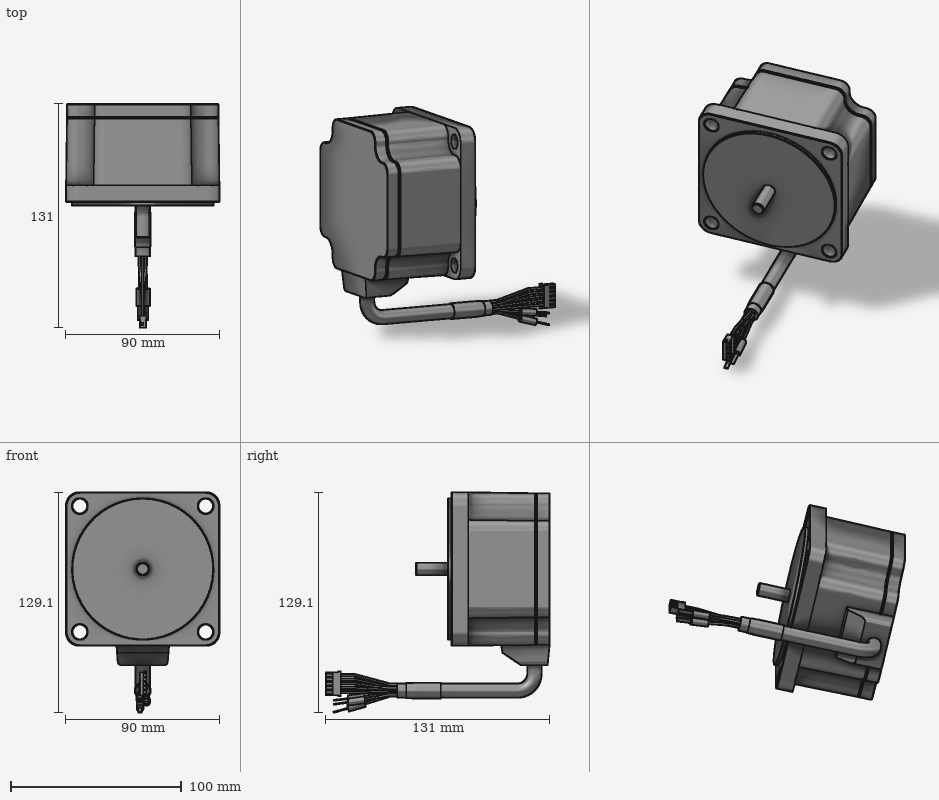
import cadquery as cq
import math


total_length = 131
rear_y = 57.5
connector_front_y = rear_y - total_length

flange_size = 90.0
flange_thickness = 10.0
flange_corner_radius = 8.0
flange_edge_chamfer = 0.5
pilot_diameter = 83.0
pilot_height = 2.1
pilot_edge_chamfer = 0.4
mount_hole_diameter = 8.5
mount_hole_mouth_diameter = 9.5
mount_hole_offset = 36.8

case_half = 44.4
case_draft_growth = 0.5
lobe_radius = 6.0
lobe_center = 22.1

cover_thickness = 7.3
cover_edge_chamfer = 0.4
spacer_thickness = 1.3
spacer_edge_chamfer = 0.4
cover_y = rear_y - cover_thickness
spacer_y = cover_y - spacer_thickness
case_length = spacer_y - flange_thickness

shaft_diameter = 7.6
shaft_end_y = -20.8
shaft_tip_chamfer = 0.5

boot_bottom_z = -56.3
boot_embed_z = -43.9
boot_slope_z = -49.0
boot_top_half_width = 15.5
boot_bottom_half_width = 14.5
boot_rear_bottom_y = 56.3
boot_front_top_y = 29.0
boot_slope_top_y = 29.9
boot_slope_bottom_y = 40.8
boot_edge_radius = 2.5

cable_diameter = 8.5
cable_y = 48.6
cable_z = -71.2
cable_bend_radius = 10.0
cable_end_y = -31.6
sleeve_diameter = 9.5
sleeve_tip_diameter = 9.0
sleeve_start_y = -6.2
sleeve_taper_y = -21.4
sleeve_end_y = -26.3

connector_left_x = -1.7
connector_width = 3.7
connector_center_z = -67.1
connector_height = 13.6
connector_back_y = -66.3
connector_lip_left_x = 0.8
connector_lip_height = 14.7
connector_lip_thickness = 1.6
contact_count = 5
contact_pitch = 2.5
slot_left_x = 0.3
slot_height = 1.7
slot_depth = 4.2
window_length = 0.5
window_height = 1.0
window_depth = 0.5
window_front_offsets = (1.5, 3.0)
top_window_x = (-0.8, 0.3)
top_window_length = 1.3

wire_diameter = 1.5
wire_row_x = 0
wire_fan_y = -36.4
wire_gather_y = -56.6
signal_wire_starts = ((0, -67.5), (-1.8, -68.9), (1.8, -69.7), (-0.3, -70.5), (-1.8, -71.8))

tube_diameter = 4.0
tube_start_y = -50.6
tube_end_y = -60.5
pin_end_y = -68.9
pin_width = 2.2
pin_thickness = 0.7
power_leads = (
    ((-1.6, -72.9), -1.8, -74.7, -75.9),
    ((1.6, -73.6), 2.2, -76.5, -78.0),
    ((-0.8, -74.2), -1.6, -78.8, -81.5),
)


def quarter_turned(point, quarters):
    """Point turned about the origin by a number of quarter turns."""
    u, v = point
    for _ in range(quarters):
        u, v = -v, u
    return (u, v)


def case_section(half, radius, y):
    """Notched square outline on the plane at the given Y, drawn facing +Y."""
    wall = lobe_center + radius
    notch_radius = mount_hole_offset - wall
    lobe_far = half - radius
    sqrt_half = math.sqrt(0.5)
    lobe_bulge = radius * sqrt_half
    notch_mid = mount_hole_offset - notch_radius * sqrt_half
    corner = (
        ((half, lobe_center), None),
        ((lobe_far, wall), (lobe_far + lobe_bulge, lobe_center + lobe_bulge)),
        ((mount_hole_offset, wall), None),
        ((wall, mount_hole_offset), (notch_mid, notch_mid)),
        ((wall, lobe_far), None),
        ((lobe_center, half), (lobe_center + lobe_bulge, lobe_far + lobe_bulge)),
    )
    outline = cq.Workplane("ZX", origin=(0, y, 0)).moveTo(half, -lobe_center)
    for quarter in range(4):
        for end, middle in corner:
            if middle:
                outline = outline.threePointArc(quarter_turned(middle, quarter), quarter_turned(end, quarter))
            else:
                outline = outline.lineTo(*quarter_turned(end, quarter))
    return outline.close()


def make_housing():
    """Mounting flange, pilot and drafted case in one piece."""
    flange = (
        cq.Workplane("ZX")
        .rect(flange_size, flange_size)
        .extrude(flange_thickness)
        .edges("|Y")
        .fillet(flange_corner_radius)
        .faces("<Y")
        .chamfer(flange_edge_chamfer)
    )
    pilot = (
        cq.Workplane("ZX", origin=(0, -pilot_height, 0))
        .circle(pilot_diameter / 2)
        .extrude(pilot_height)
        .faces("<Y")
        .chamfer(pilot_edge_chamfer)
    )
    draft_angle = math.degrees(math.atan(case_draft_growth / case_length))
    case = case_section(
        case_half + case_draft_growth, lobe_radius + case_draft_growth, flange_thickness
    ).extrude(case_length, taper=draft_angle)
    hole_square = 2 * mount_hole_offset
    holes = (
        cq.Workplane("ZX")
        .rect(hole_square, hole_square, forConstruction=True)
        .vertices()
        .circle(mount_hole_diameter / 2)
        .extrude(flange_thickness)
    )
    mouth_depth = (mount_hole_mouth_diameter - mount_hole_diameter) / 2
    mouths = (
        cq.Workplane("ZX")
        .rect(hole_square, hole_square, forConstruction=True)
        .vertices()
        .circle(mount_hole_mouth_diameter / 2)
        .extrude(mouth_depth, taper=45)
    )
    return flange.union(pilot).union(case).cut(holes).cut(mouths)


def make_spacer():
    spacer = case_section(case_half, lobe_radius, spacer_y).extrude(spacer_thickness)
    return spacer.faces("<Y or >Y").chamfer(spacer_edge_chamfer)


def make_rear_cover():
    cover = case_section(case_half, lobe_radius, cover_y).extrude(cover_thickness)
    return cover.faces(">Y").chamfer(cover_edge_chamfer)


def make_shaft():
    shaft_length = -pilot_height - shaft_end_y
    shaft = cq.Workplane("ZX", origin=(0, shaft_end_y, 0)).circle(shaft_diameter / 2).extrude(shaft_length)
    return shaft.faces("<Y").chamfer(shaft_tip_chamfer)


def make_boot(case_parts):
    """Wedge of the side profile and the tapered front profile, trimmed to the case."""
    side = (
        cq.Workplane("YZ")
        .polyline([
            (rear_y, boot_embed_z),
            (rear_y, -case_half),
            (boot_rear_bottom_y, boot_bottom_z),
            (boot_slope_bottom_y, boot_bottom_z),
            (boot_slope_top_y, boot_slope_z),
            (boot_front_top_y, -case_half),
            (boot_front_top_y, boot_embed_z),
        ])
        .close()
        .extrude(boot_top_half_width, both=True)
    )
    front = (
        cq.Workplane("XZ")
        .polyline([
            (-boot_top_half_width, boot_embed_z),
            (-boot_top_half_width, -case_half),
            (-boot_bottom_half_width, boot_bottom_z),
            (boot_bottom_half_width, boot_bottom_z),
            (boot_top_half_width, -case_half),
            (boot_top_half_width, boot_embed_z),
        ])
        .close()
        .extrude(-rear_y)
        .faces("<Z")
        .edges("|Y")
        .fillet(boot_edge_radius)
    )
    boot = side.intersect(front)
    for part in case_parts:
        boot = boot.cut(part)
    return boot


def make_rod(points, diameter):
    """Round rod along straight stretches, mitred where it bends."""
    start = cq.Vector(*points[0])
    direction = cq.Vector(*points[1]) - start
    path = cq.Workplane("XY").polyline(points)
    profile = cq.Workplane(cq.Plane(origin=start, normal=direction)).circle(diameter / 2)
    return profile.sweep(path, transition="right")


def make_blade(start, end):
    """Flat pin with its width along X."""
    direction = cq.Vector(*end) - cq.Vector(*start)
    plane = cq.Plane(origin=start, xDir=(1, 0, 0), normal=direction)
    return cq.Workplane(plane).rect(pin_width, pin_thickness).extrude(direction.Length)


def make_signal_wire(start, row):
    start_x, start_z = start
    return make_rod(
        [
            (start_x, cable_end_y, start_z),
            (start_x, wire_fan_y, start_z),
            (wire_row_x, wire_gather_y, contact_z(row)),
            (wire_row_x, connector_back_y, contact_z(row)),
        ],
        wire_diameter,
    )


def make_power_lead(wire_start, tube_x, tube_start_z, tube_end_z):
    """Wire, tube and bare pin in one piece; the pin continues the slope of the tube."""
    wire_x, wire_z = wire_start
    tube_start = (tube_x, tube_start_y, tube_start_z)
    tube_end = (tube_x, tube_end_y, tube_end_z)
    tube_slope = (tube_end_z - tube_start_z) / (tube_end_y - tube_start_y)
    pin_end = (tube_x, pin_end_y, tube_end_z + tube_slope * (pin_end_y - tube_end_y))
    tube_middle = (tube_x, (tube_start_y + tube_end_y) / 2, (tube_start_z + tube_end_z) / 2)
    wire = make_rod(
        [
            (wire_x, cable_end_y, wire_z),
            (wire_x, wire_fan_y, wire_z),
            tube_middle,
        ],
        wire_diameter,
    )
    tube = make_rod([tube_start, tube_end], tube_diameter)
    pin = make_blade(tube_middle, pin_end)
    return wire.union(tube).union(pin)


def make_cable():
    """Bent cable with the wires that fan out of its end."""
    bend_end_y = cable_y - cable_bend_radius
    bend_start_z = cable_z + cable_bend_radius
    bend_offset = cable_bend_radius * (1 - math.sqrt(0.5))
    path = (
        cq.Workplane("YZ")
        .moveTo(cable_y, boot_bottom_z)
        .lineTo(cable_y, bend_start_z)
        .threePointArc((cable_y - bend_offset, cable_z + bend_offset), (bend_end_y, cable_z))
        .lineTo(cable_end_y, cable_z)
    )
    cable = cq.Workplane("XY", origin=(0, cable_y, boot_bottom_z)).circle(cable_diameter / 2).sweep(path)
    for row, start in enumerate(signal_wire_starts):
        cable = cable.union(make_signal_wire(start, row))
    for lead in power_leads:
        cable = cable.union(make_power_lead(*lead))
    return cable


def make_sleeve():
    """Heat-shrink tube round the cable, tapered toward the wires."""
    bore_radius = cable_diameter / 2
    return (
        cq.Workplane("XY")
        .polyline([
            (bore_radius, sleeve_start_y),
            (sleeve_diameter / 2, sleeve_start_y),
            (sleeve_diameter / 2, sleeve_taper_y),
            (sleeve_tip_diameter / 2, sleeve_end_y),
            (bore_radius, sleeve_end_y),
        ])
        .close()
        .revolve(360, (0, 0, 0), (0, 1, 0))
        .translate((0, 0, cable_z))
    )


def contact_z(row):
    """Height of a contact row, counted from the top."""
    return connector_center_z + contact_pitch * ((contact_count - 1) / 2 - row)


def make_box(x_range, y_range, z_center, height):
    width = x_range[1] - x_range[0]
    length = y_range[1] - y_range[0]
    corner = (x_range[0], y_range[0], z_center - height / 2)
    return cq.Workplane("XY").box(width, length, height, centered=False).translate(corner)


def make_connector():
    """Plug block with a rear lip, open contact slots and side windows."""
    right_x = connector_left_x + connector_width
    x_range = (connector_left_x, right_x)
    block = make_box(x_range, (connector_front_y, connector_back_y), connector_center_z, connector_height)
    lip_range = (connector_back_y, connector_back_y + connector_lip_thickness)
    lip = make_box((connector_lip_left_x, right_x), lip_range, connector_center_z, connector_lip_height)
    connector = block.union(lip)
    for row in range(contact_count):
        z = contact_z(row)
        slot_range = (connector_front_y, connector_front_y + slot_depth)
        connector = connector.cut(make_box((slot_left_x, right_x), slot_range, z, slot_height))
        for offset in window_front_offsets:
            window_y = connector_front_y + offset
            window_range = (window_y - window_length / 2, window_y + window_length / 2)
            window_x = (connector_left_x, connector_left_x + window_depth)
            connector = connector.cut(make_box(window_x, window_range, z, window_height))
    top_window_y = connector_front_y + sum(window_front_offsets) / len(window_front_offsets)
    top_window_range = (top_window_y - top_window_length / 2, top_window_y + top_window_length / 2)
    top_window_z = connector_center_z + (connector_height - window_depth) / 2
    return connector.cut(make_box(top_window_x, top_window_range, top_window_z, window_depth))


housing = make_housing()
spacer = make_spacer()
rear_cover = make_rear_cover()
shaft = make_shaft()
boot = make_boot((housing, spacer, rear_cover))
cable = make_cable()
sleeve = make_sleeve()
connector = make_connector()

bodies = (housing, spacer, rear_cover, shaft, boot, cable, sleeve, connector)
result = cq.Compound.makeCompound([body.solids().val() for body in bodies])